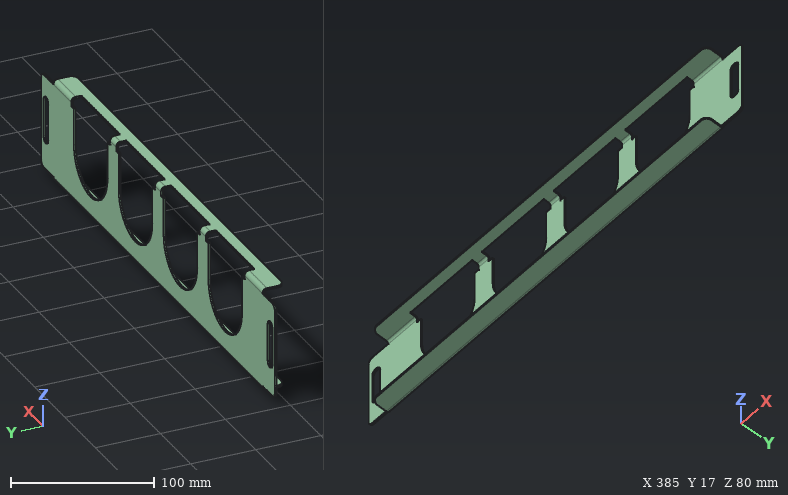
import cadquery as cq

length = 385.0
depth = 17.0
height = 80.0
thickness = 1.5

bend_inner_radius = 2.0
bend_outer_radius = bend_inner_radius + thickness
flange_length = 345.0
flange_corner_radius = 5.5

panel_height = height - 2 * bend_outer_radius
panel_corner_radius = 4.0

cutout_count = 4
cutout_pitch = 74.0
cutout_width = 55.5
cutout_bottom = -22.7
relief_width = 64.0
relief_bottom = 33.5
relief_depth = 7.7

slot_width = 8.0
slot_height = 36.0
slot_end_distance = 7.7
slot_center_z = 2.5

back_y = depth / 2
front_y = -depth / 2
top_z = height / 2


def block(width, front, back, bottom, top, center_x=0.0):
    """Box with its width centred on center_x."""
    return cq.Workplane("XY").box(width, back - front, top - bottom).translate(
        (center_x, (front + back) / 2, (bottom + top) / 2)
    )


def make_channel():
    """C-shaped channel: two flanges bent forward from the web."""
    outer = block(flange_length, front_y, back_y, -top_z, top_z)
    outer = outer.edges("|X and >Y").fillet(bend_outer_radius)
    inner_top = top_z - thickness
    inner = block(flange_length, front_y - depth, back_y - thickness, -inner_top, inner_top)
    inner = inner.edges("|X and >Y").fillet(bend_inner_radius)
    return outer.cut(inner).edges("|Z and <Y").fillet(flange_corner_radius)


def make_panel():
    """Back panel that extends past both ends of the flanges."""
    panel = block(length, back_y - thickness, back_y, -panel_height / 2, panel_height / 2)
    return panel.edges("|Y").fillet(panel_corner_radius)


def make_cutout(center_x):
    """Round-bottomed cutout with a wider relief through the upper bend."""
    radius = cutout_width / 2
    arc_center_z = cutout_bottom + radius
    panel_front = back_y - relief_depth
    round_end = (
        cq.Workplane("XZ", origin=(center_x, back_y, arc_center_z))
        .circle(radius)
        .extrude(relief_depth)
    )
    straight = block(cutout_width, panel_front, back_y, arc_center_z, top_z, center_x)
    relief = block(relief_width, panel_front, back_y, relief_bottom, top_z, center_x)
    return round_end.union(straight).union(relief)


def make_slots():
    """Mounting slots through the panel, one at each end."""
    slot_x = length / 2 - slot_end_distance
    return (
        cq.Workplane("XZ", origin=(0, back_y, slot_center_z))
        .pushPoints([(-slot_x, 0), (slot_x, 0)])
        .slot2D(slot_height, slot_width, 90)
        .extrude(thickness)
    )


bracket = make_channel().union(make_panel())
for index in range(cutout_count):
    cutout_x = (index - (cutout_count - 1) / 2) * cutout_pitch
    bracket = bracket.cut(make_cutout(cutout_x))

result = bracket.cut(make_slots())